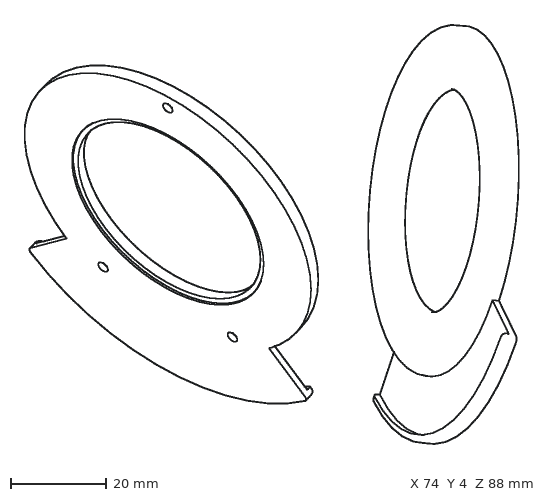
import cadquery as cq
import math

disc_thickness = 4.0
arm_plate_thickness = 1.5
lip_height = 3.0
recess_depth = 0.5
hole_depth = 1.5

disc_radius = 37.0
bore_radius = 23.5
recess_radius = 24.7
arm_radius = 51.0
lip_width = 1.7

arm_half_angle = 45.0
arm_corner_radius = 1.0

disc_rear_round = 1.9
lip_rear_round = 1.0

hole_diameter = 2.5
hole_circle_radius = 33.35
hole_spread_angle = 30.0


def front_plane():
    """Sketch plane on the front face, with local x along +X, local y along -Z and normal +Y."""
    return cq.Workplane(cq.Plane(origin=(0, 0, 0), xDir=(1, 0, 0), normal=(0, 1, 0)))


def cylinder(radius, length):
    """Cylinder on the bore axis, running from the front face towards +Y."""
    return front_plane().circle(radius).extrude(length)


def make_ring():
    """Bored disc with both rear edges rounded."""
    ring = front_plane().circle(disc_radius).circle(bore_radius).extrude(disc_thickness)
    return ring.faces(">Y").edges().fillet(disc_rear_round)


def make_arm():
    """Thin sector with rounded outer corners and a raised lip along its outer arc."""
    half_angle = math.radians(arm_half_angle)
    corner_x = arm_radius * math.sin(half_angle)
    corner_y = arm_radius * math.cos(half_angle)
    sector = (
        front_plane()
        .lineTo(corner_x, corner_y)
        .threePointArc((0, arm_radius), (-corner_x, corner_y))
        .close()
        .extrude(lip_height)
    )
    sector = sector.edges("<X or >X").fillet(arm_corner_radius)
    sector = sector.faces(">Y").edges("<Z").fillet(lip_rear_round)

    inner_radius = arm_radius - lip_width
    rear_hollow = cylinder(inner_radius, lip_height).translate((0, arm_plate_thickness, 0))
    return sector.cut(rear_hollow).cut(cylinder(bore_radius, lip_height))


def make_recess():
    """Shallow step around the bore in the front face."""
    return cylinder(recess_radius, recess_depth)


def make_holes():
    """One hole at the top of the disc and a pair either side of the arm's centre line."""
    angles_from_top = (0, 180 - hole_spread_angle, 180 + hole_spread_angle)
    centres = []
    for angle in angles_from_top:
        turn = math.radians(angle)
        centres.append((hole_circle_radius * math.sin(turn), -hole_circle_radius * math.cos(turn)))
    return front_plane().pushPoints(centres).circle(hole_diameter / 2).extrude(hole_depth)


result = make_ring().union(make_arm()).cut(make_recess()).cut(make_holes())